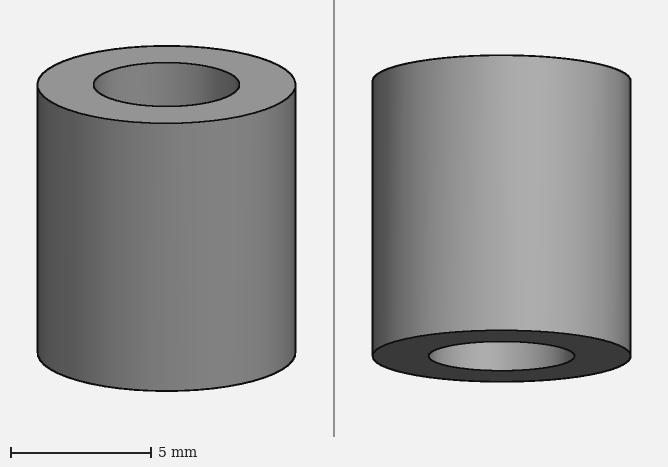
import cadquery as cq

height = 10.0
outer_diameter = 9.2
bore_diameter = 5.2

result = (
    cq.Workplane("XY")
    .circle(outer_diameter / 2)
    .circle(bore_diameter / 2)
    .extrude(height)
)